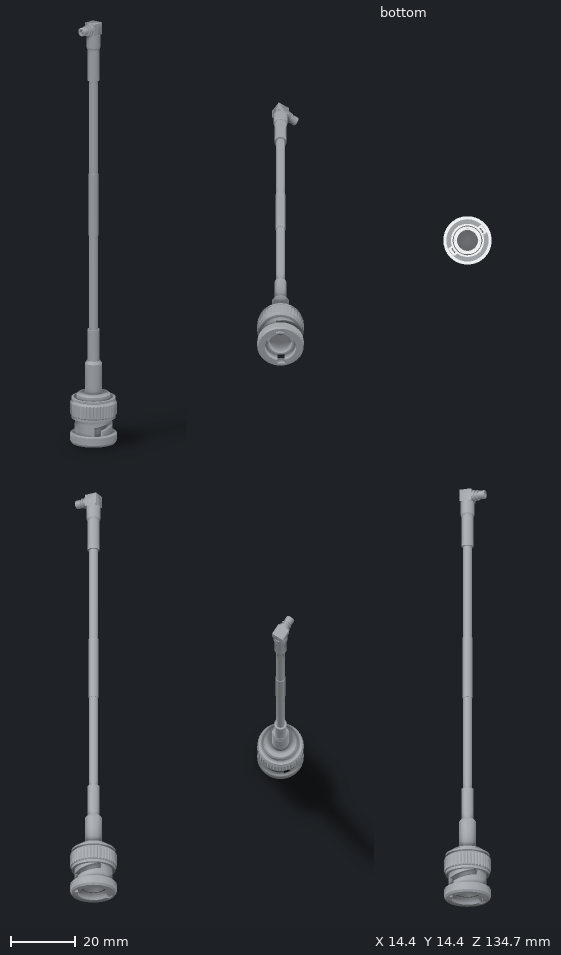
import cadquery as cq

TOTAL_HEIGHT = 134.7
CABLE_RADIUS = 1.3
LABEL_RADIUS = 1.5
LABEL_BOTTOM = 66.3
LABEL_LENGTH = 20.0
SLEEVE_RADIUS = 1.9
SLEEVE_LENGTH = 10.0

FERRULE_RADIUS = 2.7
FERRULE_TOP = 26.3
FERRULE_CHAMFER_WIDTH = 0.7
FERRULE_CHAMFER_HEIGHT = 1.0
FLANGE_TOP = 15.9
FLANGE_RADIUS = 5.3
FLANGE_CHAMFER = 0.4
CONTACT_RADIUS = 4.0
CONTACT_WALL = 0.5
CONTACT_BOTTOM = 2.0

NUT_DIAMETER = 14.4
NUT_RADIUS = NUT_DIAMETER / 2
NUT_CHAMFER = 0.4
NUT_BARREL_RADIUS = 5.9
NUT_BORE_RADIUS = 4.8
NUT_FLOOR = 12.1
FRONT_RING_TOP = 3.2
FRONT_CHAMFER_HEIGHT = 0.7
REAR_CHAMFER = 0.2
LIP_BOTTOM = 8.0
LIP_HEIGHT = 0.8
GRIP_TOP = 13.3
NECK_GROOVE_RADIUS = 6.3
NECK_GROOVE_Z = 13.7
RIM_BOTTOM = 14.0
RIM_TOP = 14.5
RECESS_RADIUS = 6.0
RECESS_FLOOR = 13.9

KNURL_COUNT = 40
KNURL_DEPTH = 0.3
KNURL_WIDTH = 0.7

SLOT_COUNT = 2
SLOT_CUT_RADIUS = NUT_BARREL_RADIUS + 0.1
SLOT_START_RADIUS = (CONTACT_RADIUS + NUT_BORE_RADIUS) / 2
ENTRY_ANGLE = 144.0
ENTRY_WIDTH = 2.3
RAMP_HEIGHT = 1.8
RAMP_START_Z = 5.3
SEAT_ANGLE = 225.0
SEAT_Z = 7.1
SEAT_DIAMETER = 2.0

BLOCK_SIZE = 3.8
COLLAR_RADIUS = 2.2
COLLAR_LENGTH = 4.7
COLLAR_CHAMFER_WIDTH = 0.2
COLLAR_CHAMFER_HEIGHT = 0.7
SHOULDER_RADIUS = 1.8
SHOULDER_LENGTH = 0.8
NOZZLE_LENGTH = 4.0
NOZZLE_RADIUS = 1.3
NOZZLE_CHAMFER = 0.2
SNAP_RADIUS = 1.6
SNAP_START = 1.3
SNAP_LENGTH = 0.4
SNAP_GROOVE_RADIUS = 1.15
SNAP_GROOVE_LENGTH = 0.4
SOCKET_RADIUS = 0.8
SOCKET_DEPTH = 2.7
CONTACT_PIN_RADIUS = 0.3

BLOCK_BOTTOM = TOTAL_HEIGHT - BLOCK_SIZE
COLLAR_BOTTOM = BLOCK_BOTTOM - COLLAR_LENGTH


def tube(outer_radius, inner_radius, bottom, length):
    return cq.Workplane("XY", origin=(0, 0, bottom)).circle(outer_radius).circle(inner_radius).extrude(length)


def turned(profile):
    """Revolve (radius, z) points about the Z axis."""
    return cq.Workplane("XZ").polyline(profile).close().revolve(360, (0, 0), (0, 1))


def turned_copies(shape, count):
    """Evenly spaced copies of a shape about the Z axis, as one cutter."""
    copies = [shape.rotate((0, 0, 0), (0, 0, 1), i * 360 / count) for i in range(count)]
    return cq.Workplane(obj=cq.Compound.makeCompound(copies))


def make_cable():
    length = COLLAR_BOTTOM - FERRULE_TOP
    return cq.Workplane("XY", origin=(0, 0, FERRULE_TOP)).circle(CABLE_RADIUS).extrude(length)


def make_label():
    return tube(LABEL_RADIUS, CABLE_RADIUS, LABEL_BOTTOM, LABEL_LENGTH)


def make_sleeve(bottom):
    return tube(SLEEVE_RADIUS, CABLE_RADIUS, bottom, SLEEVE_LENGTH)


def make_plug_body():
    """Ferrule, flange and contact sleeve in one turned piece."""
    contact_bore_radius = CONTACT_RADIUS - CONTACT_WALL
    return turned([
        (0, FERRULE_TOP),
        (FERRULE_RADIUS - FERRULE_CHAMFER_WIDTH, FERRULE_TOP),
        (FERRULE_RADIUS, FERRULE_TOP - FERRULE_CHAMFER_HEIGHT),
        (FERRULE_RADIUS, FLANGE_TOP),
        (FLANGE_RADIUS - FLANGE_CHAMFER, FLANGE_TOP),
        (FLANGE_RADIUS, FLANGE_TOP - FLANGE_CHAMFER),
        (FLANGE_RADIUS, RECESS_FLOOR),
        (CONTACT_RADIUS, RECESS_FLOOR),
        (CONTACT_RADIUS, CONTACT_BOTTOM),
        (contact_bore_radius, CONTACT_BOTTOM),
        (contact_bore_radius, NUT_FLOOR),
        (0, NUT_FLOOR),
    ])


def make_nut_blank():
    edge_radius = NUT_RADIUS - NUT_CHAMFER
    lip_top = LIP_BOTTOM + LIP_HEIGHT
    return turned([
        (NUT_BORE_RADIUS, 0),
        (edge_radius, 0),
        (NUT_RADIUS, FRONT_CHAMFER_HEIGHT),
        (NUT_RADIUS, FRONT_RING_TOP - REAR_CHAMFER),
        (NUT_RADIUS - REAR_CHAMFER, FRONT_RING_TOP),
        (NUT_BARREL_RADIUS, FRONT_RING_TOP),
        (NUT_BARREL_RADIUS, LIP_BOTTOM),
        (edge_radius, LIP_BOTTOM),
        (edge_radius, lip_top),
        (NUT_RADIUS, lip_top + NUT_CHAMFER),
        (NUT_RADIUS, GRIP_TOP - NUT_CHAMFER),
        (edge_radius, GRIP_TOP),
        (NECK_GROOVE_RADIUS, NECK_GROOVE_Z),
        (edge_radius, RIM_BOTTOM),
        (edge_radius, RIM_TOP),
        (RECESS_RADIUS, RIM_TOP),
        (RECESS_RADIUS, RECESS_FLOOR),
        (CONTACT_RADIUS, RECESS_FLOOR),
        (CONTACT_RADIUS, NUT_FLOOR),
        (NUT_BORE_RADIUS, NUT_FLOOR),
    ])


def make_knurl_groove():
    """A V groove along the grip, half a pitch away from +X."""
    bottom = LIP_BOTTOM + LIP_HEIGHT
    groove_profile = [
        (NUT_RADIUS - KNURL_DEPTH, 0),
        (NUT_RADIUS, KNURL_WIDTH / 2),
        (NUT_RADIUS + KNURL_DEPTH, 0),
        (NUT_RADIUS, -KNURL_WIDTH / 2),
    ]
    profile = cq.Workplane("XY", origin=(0, 0, bottom)).polyline(groove_profile).close()
    groove = profile.extrude(GRIP_TOP - bottom)
    half_pitch = 180 / KNURL_COUNT
    return groove.rotate((0, 0, 0), (0, 0, 1), half_pitch).val()


def make_bayonet_slot():
    """Entry channel, rising ramp and round seat, cut from the bore to just past the barrel."""
    cut_depth = SLOT_CUT_RADIUS - SLOT_START_RADIUS
    middle_radius = (SLOT_CUT_RADIUS + SLOT_START_RADIUS) / 2
    ramp_angle = SEAT_ANGLE - ENTRY_ANGLE
    ramp_rise = SEAT_Z - RAMP_START_Z

    entry_height = RAMP_START_Z + RAMP_HEIGHT / 2
    entry = (
        cq.Workplane("XY")
        .center(middle_radius, 0)
        .rect(cut_depth, ENTRY_WIDTH)
        .extrude(entry_height)
    )
    helix = cq.Wire.makeHelix(ramp_rise * 360 / ramp_angle, ramp_rise, middle_radius)
    ramp = (
        cq.Workplane("XZ")
        .center(middle_radius, 0)
        .rect(cut_depth, RAMP_HEIGHT)
        .sweep(cq.Workplane(obj=helix), isFrenet=True)
        .translate((0, 0, RAMP_START_Z))
    )
    seat = (
        cq.Workplane("YZ", origin=(SLOT_START_RADIUS, 0, SEAT_Z))
        .circle(SEAT_DIAMETER / 2)
        .extrude(cut_depth)
        .rotate((0, 0, 0), (0, 0, 1), ramp_angle)
    )
    slot = entry.union(ramp).union(seat)
    return slot.rotate((0, 0, 0), (0, 0, 1), ENTRY_ANGLE).val()


def make_coupling_nut():
    nut = make_nut_blank()
    nut = nut.cut(turned_copies(make_knurl_groove(), KNURL_COUNT))
    return nut.cut(turned_copies(make_bayonet_slot(), SLOT_COUNT))


def make_collar():
    return turned([
        (0, BLOCK_BOTTOM),
        (COLLAR_RADIUS, BLOCK_BOTTOM),
        (COLLAR_RADIUS, COLLAR_BOTTOM + COLLAR_CHAMFER_HEIGHT),
        (COLLAR_RADIUS - COLLAR_CHAMFER_WIDTH, COLLAR_BOTTOM),
        (0, COLLAR_BOTTOM),
    ])


def make_nozzle():
    """Snap-in nozzle with a centre contact, pointing to -Y from the block."""
    snap_end = SNAP_START + SNAP_LENGTH
    groove_end = snap_end + SNAP_GROOVE_LENGTH
    socket_floor = NOZZLE_LENGTH - SOCKET_DEPTH
    nozzle = turned([
        (0, 0),
        (SHOULDER_RADIUS, 0),
        (SHOULDER_RADIUS, SHOULDER_LENGTH),
        (NOZZLE_RADIUS, SHOULDER_LENGTH),
        (NOZZLE_RADIUS, SNAP_START),
        (SNAP_RADIUS, SNAP_START),
        (SNAP_RADIUS, snap_end),
        (SNAP_GROOVE_RADIUS, snap_end),
        (SNAP_GROOVE_RADIUS, groove_end),
        (NOZZLE_RADIUS, groove_end),
        (NOZZLE_RADIUS, NOZZLE_LENGTH - NOZZLE_CHAMFER),
        (NOZZLE_RADIUS - NOZZLE_CHAMFER, NOZZLE_LENGTH),
        (SOCKET_RADIUS, NOZZLE_LENGTH),
        (SOCKET_RADIUS, socket_floor),
        (CONTACT_PIN_RADIUS, socket_floor),
        (CONTACT_PIN_RADIUS, NOZZLE_LENGTH),
        (0, NOZZLE_LENGTH),
    ])
    half_block = BLOCK_SIZE / 2
    return nozzle.rotate((0, 0, 0), (1, 0, 0), 90).translate((0, -half_block, BLOCK_BOTTOM + half_block))


def make_elbow_plug():
    block = cq.Workplane("XY", origin=(0, 0, BLOCK_BOTTOM)).rect(BLOCK_SIZE, BLOCK_SIZE).extrude(BLOCK_SIZE)
    return block.union(make_collar()).union(make_nozzle())


coupling_nut = make_coupling_nut()
plug_body = make_plug_body()
sleeve_bottoms = [FERRULE_TOP, COLLAR_BOTTOM - SLEEVE_LENGTH]
sleeves = [make_sleeve(bottom).val() for bottom in sleeve_bottoms]
cable = make_cable()
label = make_label()
elbow_plug = make_elbow_plug()

result = cq.Compound.makeCompound([
    coupling_nut.val(),
    plug_body.val(),
    *sleeves,
    cable.val(),
    label.val(),
    elbow_plug.val(),
])